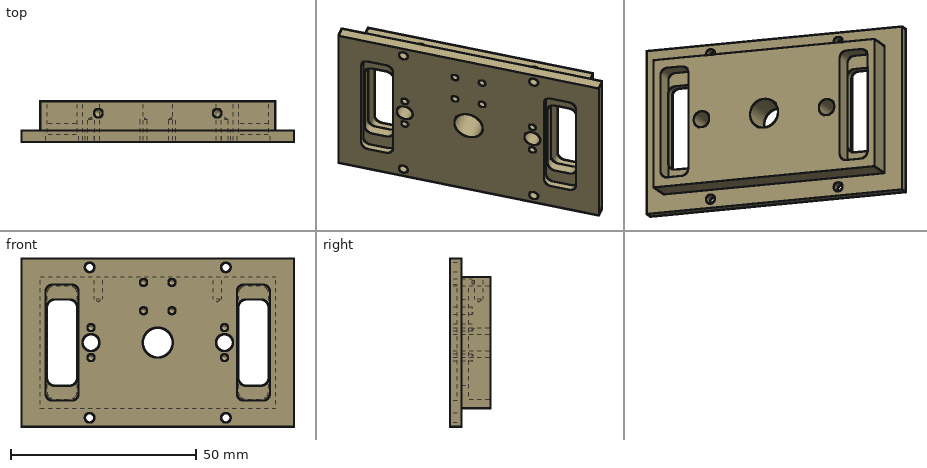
import cadquery as cq
import math

plate_width = 73.5
plate_height = 45.5
plate_thickness = 3.15
total_thickness = 11.0
block_margin = 5.0
block_width = plate_width - 2 * block_margin
block_height = plate_height - 2 * block_margin
block_thickness = total_thickness - plate_thickness

window_offset = 25.8
recess_width = 9.0
recess_height = 31.3
recess_corner_radius = 2.0
recess_depth = 2.0
throat_width = 8.15
throat_height = 23.2
throat_corner_radius = 2.1
throat_end_depth = 5.0
rear_width = 8.0
rear_height = 30.6
rear_corner_radius = 2.0

center_bore_diameter = 8.0
side_bore_diameter = 4.5
side_bore_offset = 18.0
mount_hole_diameter = 2.5
mount_hole_x = 18.4
mount_hole_z = 20.3

drill_tip_angle = 118.0
pilot_diameter = 1.9
pilot_depth = 6.0
pilot_pitch = 7.65
pilot_group_z = 12.4
side_pilot_z = 4.05
top_hole_diameter = 2.35
top_hole_depth = 6.0
top_hole_x = 16.0
top_hole_from_back = 3.2

front_y = -total_thickness / 2
back_y = total_thickness / 2


def rounded_pocket(center_x, width, height, radius, start_depth, end_depth):
    """Upright rounded rectangle between two depths below the front face."""
    pocket = cq.Workplane("XY").box(width, end_depth - start_depth, height).edges("|Y").fillet(radius)
    return pocket.translate((center_x, front_y + (start_depth + end_depth) / 2, 0))


def through_hole(x, z, diameter):
    """Round hole along Y through the full thickness."""
    start = cq.Vector(x, front_y, z)
    cylinder = cq.Solid.makeCylinder(diameter / 2, total_thickness, start, cq.Vector(0, 1, 0))
    return cq.Workplane(cylinder)


def drilled_hole(start, direction, diameter, depth):
    """Blind hole of full-diameter depth followed by a drill-point cone."""
    radius = diameter / 2
    tip_length = radius / math.tan(math.radians(drill_tip_angle / 2))
    axis = cq.Vector(*direction)
    mouth = cq.Vector(*start)
    shank = cq.Solid.makeCylinder(radius, depth, mouth, axis)
    tip = cq.Solid.makeCone(radius, 0, tip_length, mouth + axis * depth, axis)
    return cq.Workplane(shank).union(cq.Workplane(tip))


plate = cq.Workplane("XY").box(plate_width, plate_thickness, plate_height)
plate = plate.translate((0, front_y + plate_thickness / 2, 0))
block = cq.Workplane("XY").box(block_width, block_thickness, block_height)
block = block.translate((0, back_y - block_thickness / 2, 0))
body = plate.union(block)

body = body.cut(through_hole(0, 0, center_bore_diameter))

window_sections = (
    (recess_width, recess_height, recess_corner_radius, 0, recess_depth),
    (throat_width, throat_height, throat_corner_radius, recess_depth, throat_end_depth),
    (rear_width, rear_height, rear_corner_radius, throat_end_depth, total_thickness),
)

for side in (-1, 1):
    for section in window_sections:
        body = body.cut(rounded_pocket(side * window_offset, *section))

    side_bore_x = side * side_bore_offset
    body = body.cut(through_hole(side_bore_x, 0, side_bore_diameter))

    for level in (-1, 1):
        body = body.cut(through_hole(side * mount_hole_x, level * mount_hole_z, mount_hole_diameter))

        pilot_mouths = (
            (side_bore_x, front_y, level * side_pilot_z),
            (side * pilot_pitch / 2, front_y, pilot_group_z + level * pilot_pitch / 2),
        )
        for mouth in pilot_mouths:
            body = body.cut(drilled_hole(mouth, (0, 1, 0), pilot_diameter, pilot_depth))

    top_mouth = (side * top_hole_x, back_y - top_hole_from_back, block_height / 2)
    body = body.cut(drilled_hole(top_mouth, (0, 0, -1), top_hole_diameter, top_hole_depth))

result = body